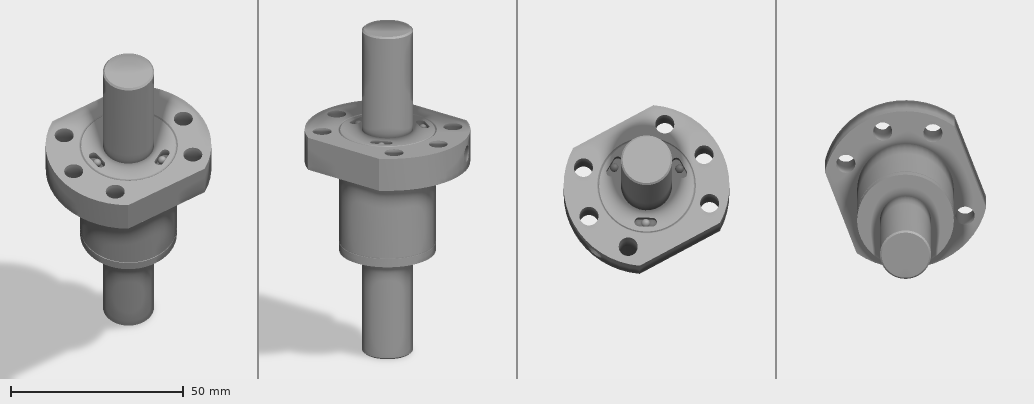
import cadquery as cq

shaft_diameter = 14.8
shaft_length = 100
shaft_chamfer = 0.5

nut_diameter = 28
nut_length = 37.5
nut_bottom = (shaft_length - nut_length) / 2
nut_top = nut_bottom + nut_length

flange_diameter = 48
flange_width = 40
flange_thickness = 9.9
flange_bottom = nut_top - flange_thickness

bolt_hole_diameter = 5.5
bolt_circle_radius = 19
bolt_hole_angles = [45, 90, 135, 225, 270, 315]

oil_hole_diameter = 4.9
oil_hole_angle = (bolt_hole_angles[1] + bolt_hole_angles[2]) / 2
oil_hole_depth = 8

end_cap_height = 2.6
cap_groove_width = 0.3
cap_groove_depth = 0.2

ring_groove_depth = 0.3

slot_count = 3
slot_first_angle = 30
slot_radius = 10.9
slot_length = 6.5
slot_width = 2.6
slot_depth = 2.2
ball_diameter = 2.5


def cylinder(diameter, bottom, height):
    """Upright cylinder on the Z axis."""
    return cq.Workplane("XY").workplane(offset=bottom).circle(diameter / 2).extrude(height)


def turn(body, angle):
    """Turn a body about the Z axis by an angle in degrees."""
    return body.rotate((0, 0, 0), (0, 0, 1), angle)


def make_flange():
    """Disc with two flats and its mounting holes."""
    disc = cylinder(flange_diameter, flange_bottom, flange_thickness)
    bar = cq.Workplane("XY").rect(flange_width, flange_diameter).extrude(shaft_length)
    flange = disc.intersect(bar)
    for angle in bolt_hole_angles:
        hole = cylinder(bolt_hole_diameter, flange_bottom, flange_thickness)
        flange = flange.cut(turn(hole.translate((bolt_circle_radius, 0, 0)), angle))
    return flange


def make_oil_hole():
    """Blind radial hole at half the flange thickness."""
    bottom_radius = flange_diameter / 2 - oil_hole_depth
    middle = flange_bottom + flange_thickness / 2
    hole = cq.Workplane("YZ", origin=(bottom_radius, 0, middle)).circle(oil_hole_diameter / 2)
    return turn(hole.extrude(oil_hole_depth), oil_hole_angle)


def make_cap_groove():
    """Square-cornered ring just above the end cap."""
    bottom = nut_bottom + end_cap_height
    outside = cylinder(nut_diameter, bottom, cap_groove_width)
    core = cylinder(nut_diameter - 2 * cap_groove_depth, bottom, cap_groove_width)
    return outside.cut(core)


def make_ring_groove():
    """Triangular profile revolved about the shaft axis."""
    radius = nut_diameter / 2
    profile = cq.Workplane("XZ").polyline(
        [
            (radius - ring_groove_depth, nut_top),
            (radius, nut_top - ring_groove_depth),
            (radius + ring_groove_depth, nut_top),
        ]
    )
    return profile.close().revolve(360, (0, 0, 0), (0, 1, 0))


def make_slot():
    """Tangential round-ended slot with its ball left standing."""
    slot = (
        cq.Workplane("XY", origin=(slot_radius, 0, nut_top))
        .slot2D(slot_length, slot_width, 90)
        .extrude(-slot_depth)
    )
    ball = cq.Workplane("XY", origin=(slot_radius, 0, nut_top - ball_diameter / 2)).sphere(ball_diameter / 2)
    return slot.cut(ball)


shaft = cylinder(shaft_diameter, 0, shaft_length).faces("<Z or >Z").chamfer(shaft_chamfer)
nut = cylinder(nut_diameter, nut_bottom, nut_length).union(make_flange())
nut = nut.cut(make_oil_hole())
nut = nut.cut(make_cap_groove())
nut = nut.cut(make_ring_groove())
for index in range(slot_count):
    angle = slot_first_angle + index * 360 / slot_count
    nut = nut.cut(turn(make_slot(), angle))

result = shaft.union(nut)